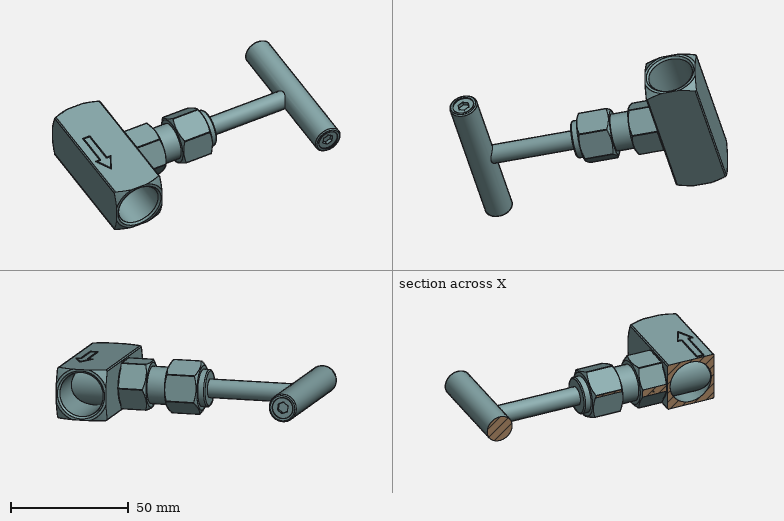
import cadquery as cq
import math


body_length = 57.0
body_width = 22.0
body_edge_chamfer = 0.5
body_end_circle = 23.2
body_center_y = body_width / 2

arrow_tail_x = -9.4
arrow_shoulder_x = 5.7
arrow_tip_x = 13.0
arrow_y = 6.0
arrow_shaft_width = 3.4
arrow_head_width = 7.4
arrow_groove_width = 0.3
arrow_depth = 0.2

bore_diameter = 19.2
bore_mouth_diameter = 20.9
barrel_diameter = 20.0

hex_flats = 20.0
hex_corner_circle = 22.9
hex_end_circle = 19.2
seat_gap = 0.3
bonnet_hex_top = 34.3
neck_diameter = 16
neck_top = 59.9
neck_chamfer = 0.5

nut_bottom = 42.5
nut_top = 56.8
nut_turn = 6.7

stem_diameter = 8.0
handle_diameter = 12.0
handle_length = 63.0
handle_chamfer = 0.5
total_length = 107
handle_y = total_length - handle_diameter / 2

recess_diameter = 9.1
recess_depth = 0.5
socket_flats = 4.4
socket_depth = 1.6
socket_turn = 8

cone_slope = math.tan(math.radians(30))


def rod_y(diameter, start, end):
    """Round bar on the stem axis between two Y positions."""
    return cq.Workplane("XZ", origin=(0, start, 0)).circle(diameter / 2).extrude(start - end)


def rod_x(diameter, center_y, length):
    """Round bar along X, centred at X = 0."""
    return cq.Workplane("YZ", origin=(-length / 2, center_y, 0)).circle(diameter / 2).extrude(length)


def hex_corner_diameter(flats):
    return flats / math.cos(math.pi / 6)


def hex_bar(start, end, turn):
    """Hexagonal bar on the stem axis; at zero turn two corners lie on the X axis."""
    bar = cq.Workplane("XZ", origin=(0, start, 0))
    bar = bar.polygon(6, hex_corner_diameter(hex_flats)).extrude(start - end)
    return bar.rotate((0, 0, 0), (0, 1, 0), turn)


def coned_bar(end_circle, corner_radius, start, end):
    """Bar turned about the Y axis, coned at both ends from corner_radius down to end_circle."""
    drop = (corner_radius - end_circle / 2) * cone_slope
    outline = [
        (0, start),
        (end_circle / 2, start),
        (corner_radius, start + drop),
        (corner_radius, end - drop),
        (end_circle / 2, end),
        (0, end),
    ]
    return cq.Workplane("XY").polyline(outline).close().revolve(360, (0, 0, 0), (0, 1, 0))


def make_body():
    body = cq.Workplane("XY").box(body_length, body_width, body_width)
    body = body.edges("|X").chamfer(body_edge_chamfer)
    half = body_length / 2
    blank = coned_bar(body_end_circle, body_width, -half, half)
    body = body.intersect(blank.rotate((0, 0, 0), (0, 0, 1), -90))
    body = body.translate((0, body_center_y, 0))

    bore = rod_x(bore_diameter, body_center_y, body_length)
    mouth_depth = (bore_mouth_diameter - bore_diameter) / 2
    for side in (-1, 1):
        mouth = cq.Workplane("YZ", origin=(side * half, body_center_y, 0))
        mouth = mouth.circle(bore_mouth_diameter / 2)
        mouth = mouth.workplane(offset=-side * mouth_depth).circle(bore_diameter / 2).loft()
        bore = bore.union(mouth)
    return body.cut(bore.cut(rod_y(barrel_diameter, 0, body_width)))


def arrow_cut():
    """Shallow groove along the outline of an arrow pointing along +X."""
    shaft = arrow_shaft_width / 2
    head = arrow_head_width / 2
    outline = [
        (arrow_tail_x, -shaft),
        (arrow_shoulder_x, -shaft),
        (arrow_shoulder_x, -head),
        (arrow_tip_x, 0),
        (arrow_shoulder_x, head),
        (arrow_shoulder_x, shaft),
        (arrow_tail_x, shaft),
    ]
    top = cq.Workplane("XY", origin=(0, arrow_y, body_width / 2))
    plate = top.polyline(outline).close().extrude(-arrow_depth)
    island = plate.faces(">Z").wires().toPending().offset2D(-arrow_groove_width)
    return island.extrude(-arrow_depth, combine="cut")


def make_bonnet():
    hex_bottom = body_width + seat_gap
    blank = coned_bar(hex_end_circle, hex_corner_circle / 2, body_center_y, bonnet_hex_top)
    hexagon = hex_bar(hex_bottom, bonnet_hex_top, 0).intersect(blank)
    seat = rod_y(barrel_diameter, body_center_y, hex_bottom)
    neck = rod_y(neck_diameter, bonnet_hex_top, neck_top).faces(">Y").chamfer(neck_chamfer)
    return seat.union(hexagon).union(neck)


def make_nut():
    blank = coned_bar(hex_end_circle, hex_corner_circle / 2, nut_bottom, nut_top)
    return hex_bar(nut_bottom, nut_top, 30 - nut_turn).intersect(blank)


def make_handle():
    handle = rod_x(handle_diameter, handle_y, handle_length).faces("<X or >X").chamfer(handle_chamfer)
    return handle.union(rod_y(stem_diameter, neck_top, handle_y))


def end_screw_cut(side):
    """Shallow round recess with a hexagon socket in its floor, at one end of the handle."""
    end = cq.Workplane("YZ", origin=(side * handle_length / 2, handle_y, 0))
    recess = end.circle(recess_diameter / 2).extrude(-side * recess_depth)
    socket = end.transformed(rotate=(0, 0, 30 - socket_turn))
    socket = socket.polygon(6, hex_corner_diameter(socket_flats))
    socket = socket.extrude(-side * (recess_depth + socket_depth))
    return recess.union(socket)


result = make_body().union(make_bonnet()).union(make_nut()).union(make_handle())
result = result.cut(arrow_cut())
for side in (-1, 1):
    result = result.cut(end_screw_cut(side))